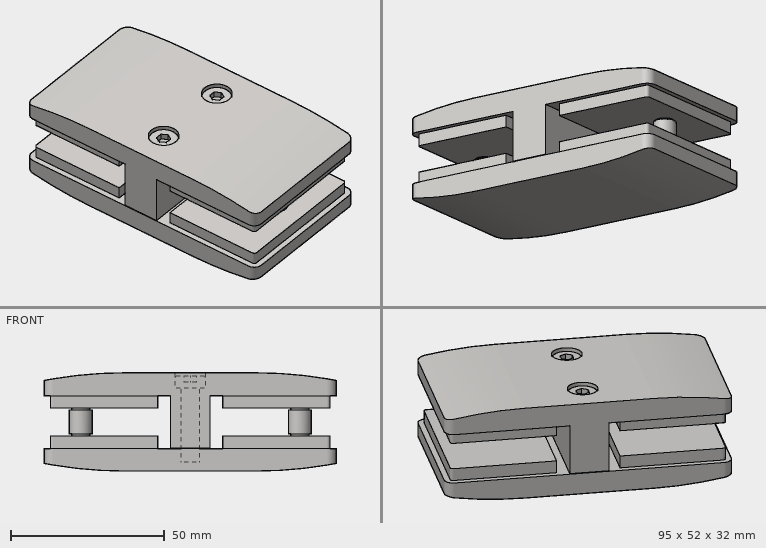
import cadquery as cq
import math

length = 95.0
width = 52.0
height = 32.0

flat_length = 43.0
end_drop = 2.5
plate_corner_radius = 3.0
upper_plate_thickness = 7.5
lower_plate_thickness = 7.3
upper_plate_inner_z = height / 2 - upper_plate_thickness
lower_plate_inner_z = -height / 2 + lower_plate_thickness

web_thickness = 13.0
web_clearance = 0.2
web_end_z = lower_plate_inner_z + web_clearance

pad_margin = 2.0
pad_length = 35.0
pad_width = width - 2 * pad_margin
pad_corner_radius = 1.0
pad_center_x = length / 2 - pad_margin - pad_length / 2
glass_gap = 9.0
upper_pad_face_z = glass_gap / 2
lower_pad_face_z = -glass_gap / 2

pin_center_x = 35.6
pin_diameter = 7.5
pin_neck_diameter = 6.0
pin_neck_length = 0.6

screw_spacing = 28.0
head_diameter = 10.0
head_height = 4.0
head_recess = 1.0
head_edge_radius = 0.8
socket_across_flats = 4.0
socket_depth = 2.0
shank_diameter = 6.0
shank_end_z = -13.0
head_top_z = height / 2 - head_recess
head_seat_z = head_top_z - head_height
screw_positions_y = (-screw_spacing / 2, screw_spacing / 2)


def cylinder(x, y, bottom_z, top_z, diameter):
    """Upright cylinder between two heights."""
    base = cq.Workplane("XY", origin=(x, y, bottom_z))
    return base.circle(diameter / 2).extrude(top_z - bottom_z)


def curved_plate(thickness):
    """Plate with its curved face up at height / 2 and all four upright corners rounded."""
    top_z = height / 2
    inner_z = top_z - thickness
    half_length = length / 2
    half_flat = flat_length / 2
    run = half_length - half_flat
    arc_radius = (run**2 + end_drop**2) / (2 * end_drop)
    mid_angle = math.asin(run / arc_radius) / 2
    mid_x = half_flat + arc_radius * math.sin(mid_angle)
    mid_z = top_z - arc_radius * (1 - math.cos(mid_angle))
    end_z = top_z - end_drop
    profile = (
        cq.Workplane("XZ")
        .moveTo(-half_length, inner_z)
        .lineTo(half_length, inner_z)
        .lineTo(half_length, end_z)
        .threePointArc((mid_x, mid_z), (half_flat, top_z))
        .lineTo(-half_flat, top_z)
        .threePointArc((-mid_x, mid_z), (-half_length, end_z))
        .close()
    )
    return profile.extrude(width / 2, both=True).edges("|Z").fillet(plate_corner_radius)


def make_upper_plate():
    """Upper plate with its web and the counterbored screw holes."""
    web_height = upper_plate_inner_z - web_end_z
    web = (
        cq.Workplane("XY", origin=(0, 0, web_end_z))
        .rect(web_thickness, width)
        .extrude(web_height)
    )
    plate = curved_plate(upper_plate_thickness).union(web)
    for y in screw_positions_y:
        plate = plate.cut(cylinder(0, y, web_end_z, height / 2, shank_diameter))
        plate = plate.cut(cylinder(0, y, head_seat_z, height / 2, head_diameter))
    return plate


def make_lower_plate():
    """Lower plate, curved face down, with blind holes for the screw ends."""
    plate = curved_plate(lower_plate_thickness).mirror("XY")
    for y in screw_positions_y:
        plate = plate.cut(cylinder(0, y, shank_end_z, lower_plate_inner_z, shank_diameter))
    return plate


def make_pad(side, bottom_z, top_z):
    """Flat pad on one side of the web (-1 or 1), rounded at its two outer corners."""
    outer_edges = "|Z and >X" if side > 0 else "|Z and <X"
    return (
        cq.Workplane("XY", origin=(side * pad_center_x, 0, bottom_z))
        .rect(pad_length, pad_width)
        .extrude(top_z - bottom_z)
        .edges(outer_edges)
        .fillet(pad_corner_radius)
    )


def make_pin_pad(side):
    """Lower pad with the locating pin that crosses the glass gap."""
    pin_x = side * pin_center_x
    neck = cylinder(pin_x, 0, lower_pad_face_z, upper_pad_face_z, pin_neck_diameter)
    shoulder_bottom_z = lower_pad_face_z + pin_neck_length
    shoulder_top_z = upper_pad_face_z - pin_neck_length
    pin_body = cylinder(pin_x, 0, shoulder_bottom_z, shoulder_top_z, pin_diameter)
    pad = make_pad(side, lower_plate_inner_z, lower_pad_face_z)
    return pad.union(neck).union(pin_body)


def make_screw(y):
    """Screw with a rounded head edge and a hexagon socket pointing along Y."""
    head = cylinder(0, y, head_seat_z, head_top_z, head_diameter)
    head = head.faces(">Z").edges().fillet(head_edge_radius)
    socket_across_corners = socket_across_flats / math.cos(math.pi / 6)
    socket = (
        cq.Workplane("XY", origin=(0, y, head_top_z - socket_depth))
        .transformed(rotate=(0, 0, 90))
        .polygon(6, socket_across_corners)
        .extrude(socket_depth)
    )
    shank = cylinder(0, y, shank_end_z, head_seat_z, shank_diameter)
    return head.union(shank).cut(socket)


upper_plate = make_upper_plate()
lower_plate = make_lower_plate()
upper_pads = [make_pad(side, upper_pad_face_z, upper_plate_inner_z) for side in (-1, 1)]
pin_pads = [make_pin_pad(side) for side in (-1, 1)]
screws = [make_screw(y) for y in screw_positions_y]

bodies = [upper_plate, lower_plate, *upper_pads, *pin_pads, *screws]
result = cq.Compound.makeCompound([body.val() for body in bodies])